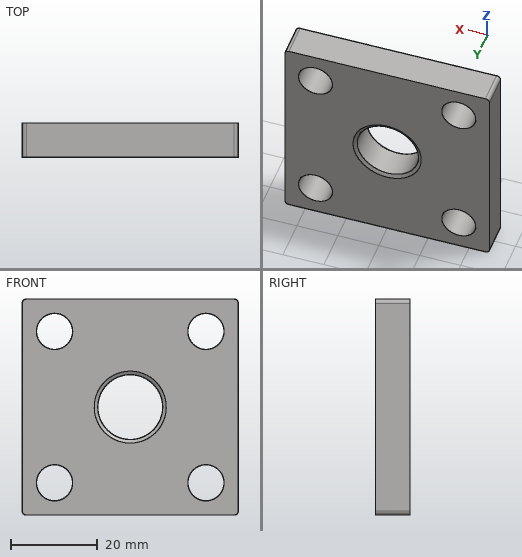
import cadquery as cq

side = 50.0
thickness = 8.0
corner_radius = 1.0

mount_hole_diameter = 8.3
mount_hole_spacing = 35.0

bore_diameter = 14.95
bore_mouth_diameter = 16.66
bore_chamfer_depth = 0.5


def make_plate():
    """Square plate with rounded corners, front face on Y = 0."""
    plate = cq.Workplane("XZ").rect(side, side).extrude(-thickness)
    return plate.edges("|Y").fillet(corner_radius)


def cut_mount_holes(plate):
    """Cut the four plain through holes."""
    holes = (
        cq.Workplane("XZ")
        .rect(mount_hole_spacing, mount_hole_spacing, forConstruction=True)
        .vertices()
        .circle(mount_hole_diameter / 2)
        .extrude(-thickness)
    )
    return plate.cut(holes)


def chamfer_cone(face_y, inward):
    """Conical chamfer tool on the face at Y = face_y; inward is +1 or -1 along Y."""
    return cq.Workplane(
        cq.Solid.makeCone(
            bore_mouth_diameter / 2,
            bore_diameter / 2,
            bore_chamfer_depth,
            pnt=cq.Vector(0, face_y, 0),
            dir=cq.Vector(0, inward, 0),
        )
    )


def cut_bore(plate):
    """Cut the central through bore and the chamfers at its two mouths."""
    bore = cq.Workplane("XZ").circle(bore_diameter / 2).extrude(-thickness)
    plate = plate.cut(bore)
    plate = plate.cut(chamfer_cone(0, 1))
    return plate.cut(chamfer_cone(thickness, -1))


result = cut_bore(cut_mount_holes(make_plate()))